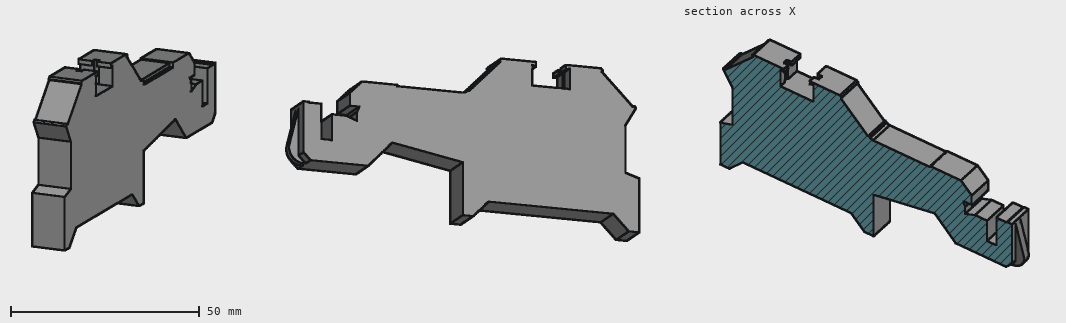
import cadquery as cq
import math

width = 9.5
length = 97.8
height = 44.0

foot_length = 50.0
foot_mid = foot_length / 2
foot_pad = 3.0
foot_recess = 4.4
foot_front_height = 14.8
foot_back_height = 14.5

front_wall_y = 3.9
front_ledge_z = 16.0
front_overhang_z = 29.0

head_half_top = 14.1
shoulder_z = 34.0
head_half_base = head_half_top + height - shoulder_z
flank_lip = 0.8
flank_recess = 0.45
lip_step = flank_lip * math.sin(math.pi / 4)
recess_step = flank_recess * math.sin(math.pi / 4)

slot_half_mouth = 4.2
slot_half_width = 5.3
slot_floor_z = 37.45
lip_edge_z = 42.7
lip_root_z = 43.1
key_groove_width = 1.45
key_groove_half_length = slot_half_mouth + 1.5

arm_z = 33.65
arm_step_y = 68.5
arm_end_y = 82.0
arm_chamfer = 3.5
hook_z = 27.0
blend_y = 49.9
blend_top_y = 48.9

rebate_width = 1.1
rebate_depth = 1.0
rebate_start_y = 50.2

notch_top_y = 79.3
notch_wall_y = 79.9
notch_wall_z = 25.5
notch_low_z = 23.05
ledge_z = 24.2
ledge_start_y = 83.1

tail_slot_y = 87.0
post_y = 90.0
post_end_y = 95.1
tail_slot_floor_z = 17.1
rim_height = 0.2
rim_width = 1.6
post_z = hook_z - rim_height

tail_bottom_z = 11.0
tail_chamfer = 2.0
tail_ramp_y = 76.7
ramp_top_y = 69.9
ramp_top_z = 18.0

fin_width = 2.2
fin_lean = math.radians(14.5)
fin_radius = 4.0


def extrude_yz(sketch, thickness):
    """Extrude a YZ outline symmetrically about X = 0."""
    return sketch.close().extrude(thickness / 2, both=True)


def flank_points(side):
    """Points from the shoulder to the top of one 45 degree head flank; side is -1 or +1 along Y."""
    offsets = [
        (head_half_base - lip_step, shoulder_z + lip_step),
        (head_half_base - lip_step - recess_step, shoulder_z + lip_step - recess_step),
        (head_half_top + lip_step - recess_step, height - lip_step - recess_step),
        (head_half_top + lip_step, height - lip_step),
        (head_half_top, height),
    ]
    return [(foot_mid + side * offset, z) for offset, z in offsets]


def slot_points(side):
    """Points from the slot mouth down to the slot floor on one side."""
    offsets = [
        (slot_half_mouth, height),
        (slot_half_mouth, lip_edge_z),
        (slot_half_width, lip_root_z),
        (slot_half_width, slot_floor_z),
    ]
    return [(foot_mid + side * offset, z) for offset, z in offsets]


def make_body():
    foot = [
        (foot_length, 0),
        (foot_length - foot_pad, 0),
        (foot_length - foot_pad - foot_recess, foot_recess),
        (foot_pad + foot_recess, foot_recess),
        (foot_pad, 0),
        (0, 0),
        (0, foot_front_height),
        (front_wall_y, front_ledge_z),
        (front_wall_y, front_overhang_z),
        (foot_mid - head_half_base, shoulder_z),
    ]
    head = flank_points(-1) + slot_points(-1) + slot_points(1)[::-1] + flank_points(1)[::-1]
    arm = [
        (blend_top_y, shoulder_z),
        (blend_y, arm_z),
        (arm_step_y, arm_z),
        (arm_step_y, shoulder_z),
        (arm_end_y - arm_chamfer, shoulder_z),
        (arm_end_y, shoulder_z - arm_chamfer),
        (arm_end_y, hook_z),
        (notch_top_y, hook_z),
        (notch_wall_y, notch_wall_z),
        (notch_wall_y, notch_low_z),
        (ledge_start_y, ledge_z),
    ]
    tail = [
        (tail_slot_y, ledge_z),
        (tail_slot_y, tail_slot_floor_z),
        (post_y, tail_slot_floor_z),
        (post_y, post_z),
        (post_end_y - rim_width, post_z),
        (post_end_y - rim_width, hook_z),
        (post_end_y, hook_z),
        (post_end_y, tail_bottom_z + tail_chamfer),
        (post_end_y - tail_chamfer, tail_bottom_z),
        (tail_ramp_y, tail_bottom_z),
        (ramp_top_y, ramp_top_z),
        (foot_length, foot_back_height),
    ]
    return extrude_yz(cq.Workplane("YZ").polyline(foot + head + arm + tail), width)


def make_fin():
    """Fin with a round lower corner and a leaning edge tangent to it."""
    center_y = length - fin_radius
    center_z = tail_bottom_z + fin_radius
    tangent_y = center_y + fin_radius * math.cos(fin_lean)
    tangent_z = center_z + fin_radius * math.sin(fin_lean)
    top_z = tangent_z + (tangent_y - post_end_y) / math.tan(fin_lean)
    outline = (
        cq.Workplane("YZ")
        .moveTo(post_y, tail_bottom_z)
        .lineTo(center_y, tail_bottom_z)
        .threePointArc((length, center_z), (tangent_y, tangent_z))
        .lineTo(post_end_y, top_z)
    )
    return extrude_yz(outline, fin_width)


def make_key_grooves():
    """Vertical grooves through both lips and slot walls, down to the slot floor."""
    groove_height = height - slot_floor_z
    return cq.Workplane("XY").box(
        key_groove_width, 2 * key_groove_half_length, groove_height, centered=(True, True, False)
    ).translate((0, foot_mid, slot_floor_z))


def make_rebate():
    return cq.Workplane("XY").box(
        rebate_width, arm_step_y - rebate_start_y, rebate_depth, centered=False
    ).translate((width / 2 - rebate_width, rebate_start_y, arm_z - rebate_depth))


result = make_body().union(make_fin()).cut(make_key_grooves()).cut(make_rebate())